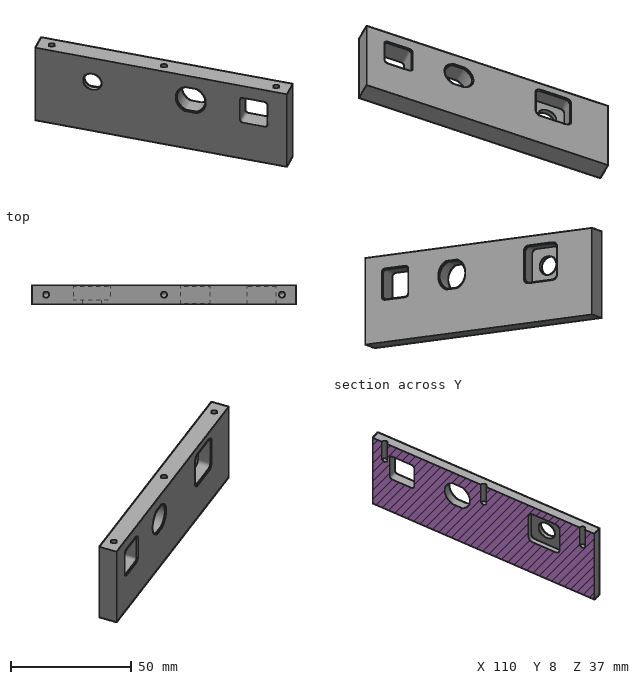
import cadquery as cq

LENGTH = 110.0
THICKNESS = 8.0
HEIGHT = 37.0
FRONT_Y = -THICKNESS / 2
TOP_Z = HEIGHT / 2

HOLE_CENTER_Z = TOP_Z - 12.0
ROUND_HOLE_X = -30.0
ROUND_HOLE_DIAMETER = 8.0
POCKET_WIDTH = 15.3
POCKET_CORNER_RADIUS = 2.0
POCKET_FLOOR_THICKNESS = 2.0

FLATTED_HOLE_X = 13.0
FLATTED_HOLE_DIAMETER = 12.3
FLATTED_HOLE_HEIGHT = 11.3
FLATTED_HOLE_CORNER_RADIUS = 0.4

WINDOW_X = 40.5
WINDOW_CENTER_Z = TOP_Z - 12.3
WINDOW_WIDTH = 12.0
WINDOW_HEIGHT = 12.5
WINDOW_CORNER_RADIUS = 1.3

RIM_CHAMFER = 0.5

EDGE_HOLE_PITCH = 49.1
EDGE_HOLE_DIAMETER = 2.5
EDGE_HOLE_DEPTH = 9.9
DRILL_POINT_DEPTH = 0.8


INNER_EDGES = "not(<X or >X or <Z or >Z)"


def front_plane(x, z, depth=0):
    """Workplane parallel to the front face, at a depth behind it, pointing into the plate."""
    origin = (x, FRONT_Y + depth, z)
    return cq.Workplane(cq.Plane(origin=origin, xDir=(1, 0, 0), normal=(0, 1, 0)))


def rounded_block(plane, width, height, depth, corner_radius):
    return plane.rect(width, height).extrude(depth).edges("|Y").fillet(corner_radius)


def pocketed_hole():
    hole = front_plane(ROUND_HOLE_X, HOLE_CENTER_Z).circle(ROUND_HOLE_DIAMETER / 2).extrude(THICKNESS)
    pocket = rounded_block(
        front_plane(ROUND_HOLE_X, HOLE_CENTER_Z, POCKET_FLOOR_THICKNESS),
        POCKET_WIDTH,
        POCKET_WIDTH,
        THICKNESS - POCKET_FLOOR_THICKNESS,
        POCKET_CORNER_RADIUS,
    )
    return hole.union(pocket)


def flatted_hole():
    plane = front_plane(FLATTED_HOLE_X, HOLE_CENTER_Z)
    bore = plane.circle(FLATTED_HOLE_DIAMETER / 2).extrude(THICKNESS)
    band = plane.rect(FLATTED_HOLE_DIAMETER, FLATTED_HOLE_HEIGHT).extrude(THICKNESS)
    return bore.intersect(band).faces(">Z or <Z").edges("|Y").fillet(FLATTED_HOLE_CORNER_RADIUS)


def window():
    plane = front_plane(WINDOW_X, WINDOW_CENTER_Z)
    return rounded_block(plane, WINDOW_WIDTH, WINDOW_HEIGHT, THICKNESS, WINDOW_CORNER_RADIUS)


def edge_hole(x):
    """Drilled hole with a conical bottom."""
    radius = EDGE_HOLE_DIAMETER / 2
    half_section = (
        cq.Workplane("XZ", origin=(x, 0, TOP_Z))
        .lineTo(radius, 0)
        .lineTo(radius, -EDGE_HOLE_DEPTH)
        .lineTo(0, -EDGE_HOLE_DEPTH - DRILL_POINT_DEPTH)
        .close()
    )
    return half_section.revolve(360, (0, 0, 0), (0, 1, 0))


plate = cq.Workplane("XY").box(LENGTH, THICKNESS, HEIGHT)

plate = plate.cut(flatted_hole())
plate = plate.faces("<Y").edges(INNER_EDGES).chamfer(RIM_CHAMFER)

plate = plate.cut(pocketed_hole()).cut(window())

plate = plate.faces(">Y").edges(INNER_EDGES).chamfer(RIM_CHAMFER)

for hole_x in (-EDGE_HOLE_PITCH, 0, EDGE_HOLE_PITCH):
    plate = plate.cut(edge_hole(hole_x))

result = plate